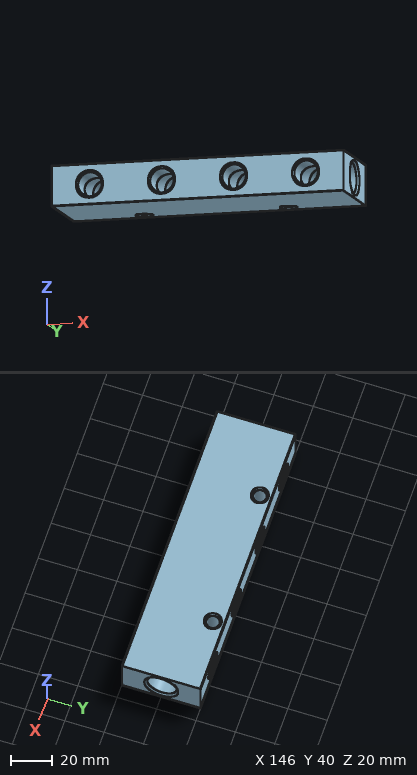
import cadquery as cq

length = 146.0
width = 40.0
height = 20.0
edge_chamfer = 0.3

port_count = 4
port_pitch = 36.0
port_diameter = 11.8
port_mouth_diameter = 13.6

bore_diameter = 14.9
bore_mouth_diameter = 17.2

mount_spacing = 2 * port_pitch
mount_edge_distance = 6.0
mount_y = width / 2 - mount_edge_distance
mount_diameter = 6.7
mount_mouth_diameter = 8.6


def chamfered_hole(diameter, mouth_diameter, depth):
    """Through-hole cutter centred on the Z axis, with a 45-degree flare at both ends."""
    radius = diameter / 2
    mouth_radius = mouth_diameter / 2
    flare = mouth_radius - radius
    end = depth / 2
    profile = [
        (0, -end),
        (mouth_radius, -end),
        (radius, flare - end),
        (radius, end - flare),
        (mouth_radius, end),
        (0, end),
    ]
    return cq.Workplane("XZ").polyline(profile).close().revolve(360, (0, 0), (0, 1))


result = cq.Workplane("XY").box(length, width, height).edges("|X").chamfer(edge_chamfer)

bore = chamfered_hole(bore_diameter, bore_mouth_diameter, length)
result = result.cut(bore.rotate((0, 0, 0), (0, 1, 0), 90))

port = chamfered_hole(port_diameter, port_mouth_diameter, width).rotate((0, 0, 0), (1, 0, 0), 90)
for index in range(port_count):
    port_x = (index - (port_count - 1) / 2) * port_pitch
    result = result.cut(port.translate((port_x, 0, 0)))

mount = chamfered_hole(mount_diameter, mount_mouth_diameter, height)
for side in (-1, 1):
    result = result.cut(mount.translate((side * mount_spacing / 2, mount_y, 0)))